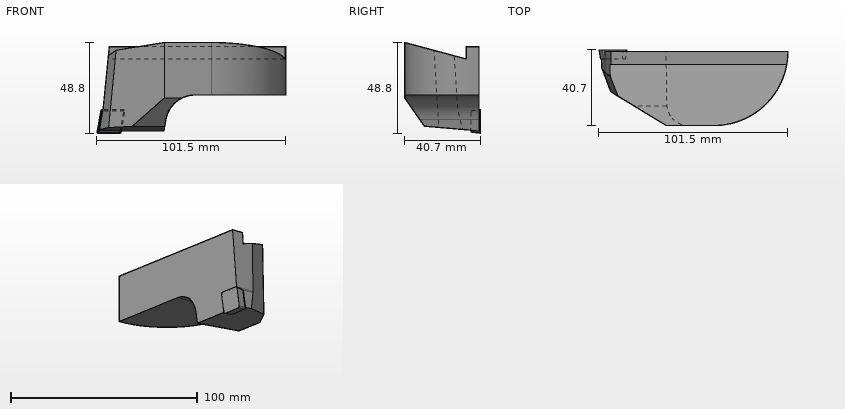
import cadquery as cq
import math

length = 101.5
depth = 40.0
height = 48.8
underside_z = 20.5

rail_depth = 7.0
rail_top_z = 46.5
roof_angle = 15.0
roof_back_z = height - (depth - rail_depth) * math.tan(math.radians(roof_angle))

bottom_back_z = 1.2
bevel_bottom_y = -29.4
bevel_bottom_z = 3.8
bevel_top_z = 19.0

left_top_x = 6.5
shoulder_x = 3.1
shoulder_z = 12.9
shoulder_blend_x = 3.0
shoulder_blend_z = 12.1
leg_left_x = 1.2
leg_left_z = 1.2

leg_right_x = 35.7
leg_lean = 10.0
corner_radius = 15.7

front_left_x = 36.1
bend_x = 6.2
bend_y = -21.7
bend_z = 3.0

tilt_x_per_y = -0.37
tilt_x_per_z = 0.075

insert_edge = 13.0
insert_height = 12.7
insert_lean = 10.0
insert_relief = 7.0
insert_back_y = 0.7
insert_thickness = 5.0
insert_nose_radius = 0.8


def make_side_section():
    """Rail, roof, bevel and bottom, swept along the length."""
    return (
        cq.Workplane("YZ")
        .polyline([
            (0, bottom_back_z),
            (0, rail_top_z),
            (-rail_depth, rail_top_z),
            (-rail_depth, roof_back_z),
            (-depth, height),
            (-depth, bevel_top_z),
            (bevel_bottom_y, bevel_bottom_z),
        ])
        .close()
        .extrude(length)
    )


def make_front_section():
    """Leg, overhang and their concave corner, swept through the depth."""
    lean = math.radians(leg_lean)
    arc_z = underside_z - corner_radius
    arc_x = leg_right_x + arc_z * math.tan(lean) + corner_radius / math.cos(lean)
    mid_angle = (math.pi / 2 + math.pi - lean) / 2

    def arc_point(angle):
        return (arc_x + corner_radius * math.cos(angle), arc_z + corner_radius * math.sin(angle))

    left_lean = (left_top_x - shoulder_x) / (rail_top_z - shoulder_z)
    roof_left_x = left_top_x + left_lean * (height - rail_top_z)
    foot_lean = (shoulder_blend_x - leg_left_x) / (shoulder_blend_z - leg_left_z)
    foot_x = leg_left_x - foot_lean * leg_left_z
    return (
        cq.Workplane("XZ")
        .moveTo(leg_right_x, 0)
        .lineTo(*arc_point(math.pi - lean))
        .threePointArc(arc_point(mid_angle), arc_point(math.pi / 2))
        .lineTo(length, underside_z)
        .lineTo(length, height)
        .lineTo(roof_left_x, height)
        .lineTo(shoulder_x, shoulder_z)
        .lineTo(shoulder_blend_x, shoulder_blend_z)
        .lineTo(foot_x, 0)
        .close()
        .extrude(depth)
    )


def make_plan_section():
    """Plan outline with a quarter-round right end, swept upward."""
    arc_x = length - depth
    arc_mid = depth * math.sqrt(0.5)
    corner_slope = (bend_y + depth) / (bend_x - front_left_x)
    left_y = bend_y - corner_slope * bend_x
    return (
        cq.Workplane("XY")
        .moveTo(0, 0)
        .lineTo(0, left_y)
        .lineTo(front_left_x, -depth)
        .lineTo(arc_x, -depth)
        .threePointArc((arc_x + arc_mid, -arc_mid), (length, 0))
        .close()
        .extrude(height)
    )


def make_side_cutter():
    """Block filling everything to the left of the tilted side face."""
    face = cq.Plane(
        origin=(bend_x, bend_y, bend_z),
        xDir=(tilt_x_per_y, 1, 0),
        normal=(-1, tilt_x_per_y, tilt_x_per_z),
    )
    return cq.Workplane(face).rect(2 * length, 2 * length).extrude(length)


def make_cutting_insert():
    """Rhombic plate whose flanks taper inward toward the front."""
    lean = math.radians(insert_lean)
    lean_x = insert_height * math.tan(lean)
    nose_half_angle = math.radians((90 - insert_lean) / 2)
    start_x = insert_nose_radius * (1 - 1 / math.tan(nose_half_angle))
    return (
        cq.Workplane("XZ", origin=(start_x, insert_back_y, 0))
        .polyline([
            (0, 0),
            (insert_edge, 0),
            (insert_edge + lean_x, insert_height),
            (lean_x, insert_height),
        ])
        .close()
        .extrude(insert_thickness, taper=insert_relief)
        .edges("not(#Y)")
        .fillet(insert_nose_radius)
    )


def make_holder(pocket):
    """Intersect the three sections, then cut the side face and insert pocket."""
    return (
        make_side_section()
        .intersect(make_front_section())
        .intersect(make_plan_section())
        .cut(make_side_cutter())
        .cut(pocket)
    )


cutting_insert = make_cutting_insert()
holder = make_holder(cutting_insert)

result = cq.Compound.makeCompound([holder.solids().val(), cutting_insert.solids().val()])